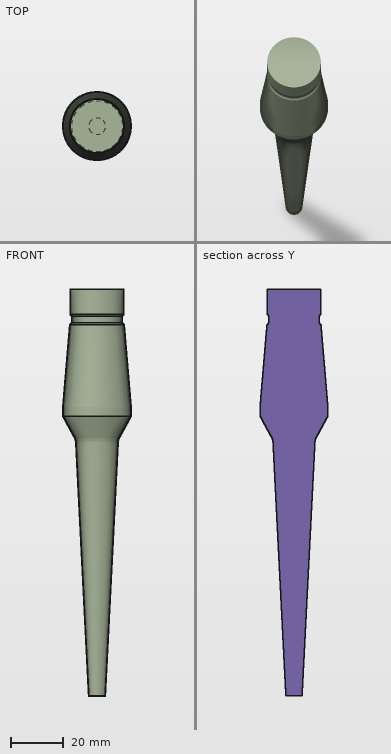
import cadquery as cq

total_length = 155.0
head_height = 9.6
groove_height = 4.0
groove_chamfer_height = 0.8
body_taper_height = 31.3
collar_height = 3.4
shoulder_height = 9.0

head_bottom = total_length - head_height
body_top = head_bottom - groove_height
collar_top = body_top - body_taper_height
collar_bottom = collar_top - collar_height
shank_top = collar_bottom - shoulder_height

head_diameter = 20.5
groove_diameter = 19.4
body_top_diameter = 20.8
collar_diameter = 26.0
shank_top_diameter = 16.3
tip_diameter = 6.4

shank_fillet_radius = 3.1

profile_sections = [
    (tip_diameter, 0),
    (shank_top_diameter, shank_top),
    (collar_diameter, collar_bottom),
    (collar_diameter, collar_top),
    (body_top_diameter, body_top),
    (groove_diameter, body_top + groove_chamfer_height),
    (groove_diameter, head_bottom - groove_chamfer_height),
    (head_diameter, head_bottom),
    (head_diameter, total_length),
]
profile_points = [(diameter / 2, height) for diameter, height in profile_sections]

turned_body = (
    cq.Workplane("XZ")
    .moveTo(0, 0)
    .polyline(profile_points, includeCurrent=True)
    .lineTo(0, total_length)
    .close()
    .revolve(360, (0, 0, 0), (0, 1, 0))
)

edge_search_margin = 0.2
shank_corner = cq.selectors.BoxSelector(
    (-collar_diameter, -collar_diameter, shank_top - edge_search_margin),
    (collar_diameter, collar_diameter, shank_top + edge_search_margin),
    boundingbox=True,
)
result = turned_body.edges(shank_corner).fillet(shank_fillet_radius)